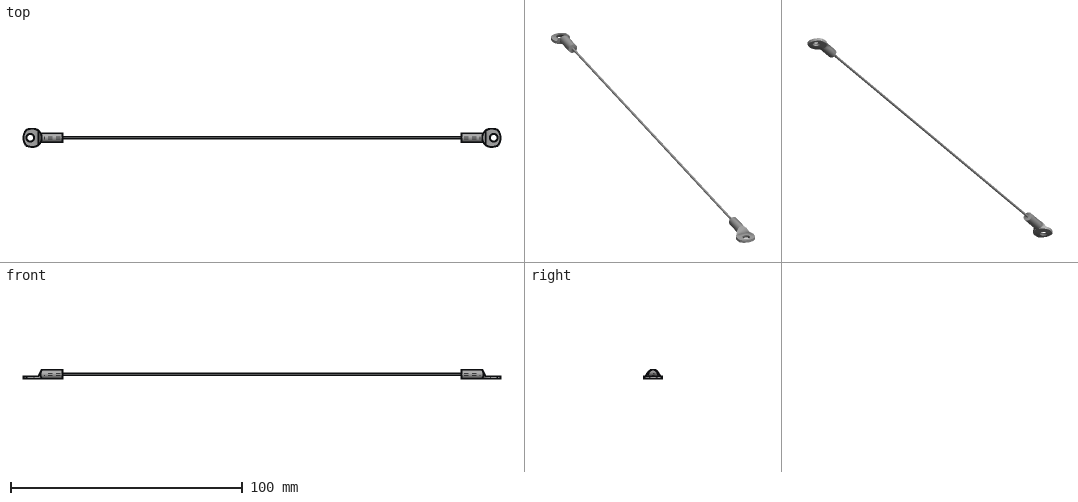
import cadquery as cq
import math

overall_length = 206.0
terminal_length = 17.0
tip_x = -overall_length / 2
barrel_end_x = tip_x + terminal_length

ring_radius = 4.0
nose_radius = 5.1
flank_radius = 7.5
plate_thickness = 1.2
stud_hole_diameter = 3.2
stud_hole_from_tip = 3.0
ring_center_x = tip_x + ring_radius

barrel_diameter = 4.0
barrel_radius = barrel_diameter / 2

ramp_foot = 6.5
ramp_head = 7.95
ramp_foot_x = tip_x + ramp_foot
ramp_head_x = tip_x + ramp_head

wire_diameter = 1.0
socket_depth = 8.0
wire_end_x = barrel_end_x - socket_depth


def flank_point(x, side):
    """Point on a flank of the ring plate; side is 1 for +Y and -1 for -Y."""
    along = x - ring_center_x
    return (x, side * (ring_radius - flank_radius + math.sqrt(flank_radius**2 - along**2)))


def make_ring(height):
    """Ring outline, extruded up from z = 0."""
    flank_mid_x = (tip_x + ring_center_x) / 2
    nose = cq.Workplane("XY").center(tip_x + nose_radius, 0).circle(nose_radius).extrude(height)
    flanks_and_rear = (
        cq.Workplane("XY")
        .moveTo(ring_center_x, -ring_radius)
        .threePointArc((ring_center_x + ring_radius, 0), (ring_center_x, ring_radius))
        .threePointArc(flank_point(flank_mid_x, 1), flank_point(tip_x, 1))
        .lineTo(*flank_point(tip_x, -1))
        .threePointArc(flank_point(flank_mid_x, -1), (ring_center_x, -ring_radius))
        .close()
        .extrude(height)
    )
    return flanks_and_rear.intersect(nose)


def make_rod(diameter, start_x, end_x):
    """Round rod along the barrel axis."""
    return (
        cq.Workplane("YZ", origin=(start_x, 0, barrel_radius))
        .circle(diameter / 2)
        .extrude(end_x - start_x)
    )


def make_barrel_and_shoulder():
    """Barrel that widens to the ring outline at its front and is cut off there by the sloping ramp."""
    behind_ramp = (
        cq.Workplane("XZ")
        .moveTo(ramp_foot_x, 0)
        .lineTo(ramp_foot_x, plate_thickness)
        .lineTo(ramp_head_x, barrel_diameter)
        .lineTo(barrel_end_x, barrel_diameter)
        .lineTo(barrel_end_x, 0)
        .close()
        .extrude(ring_radius, both=True)
    )
    barrel = make_rod(barrel_diameter, ramp_foot_x, barrel_end_x)
    return make_ring(barrel_diameter).union(barrel).intersect(behind_ramp)


def make_left_terminal():
    """Ring terminal on the -X end, with its stud hole and its wire socket."""
    stud_hole = (
        cq.Workplane("XY")
        .center(tip_x + stud_hole_from_tip, 0)
        .circle(stud_hole_diameter / 2)
        .extrude(plate_thickness)
    )
    wire_socket = make_rod(wire_diameter, wire_end_x, barrel_end_x)
    body = make_ring(plate_thickness).union(make_barrel_and_shoulder())
    return body.cut(stud_hole).cut(wire_socket)


left_terminal = make_left_terminal().solids().val()
terminals = [left_terminal, left_terminal.mirror("YZ")]
wire = make_rod(wire_diameter, wire_end_x, -wire_end_x)

result = cq.Compound.makeCompound([*terminals, wire.val()])